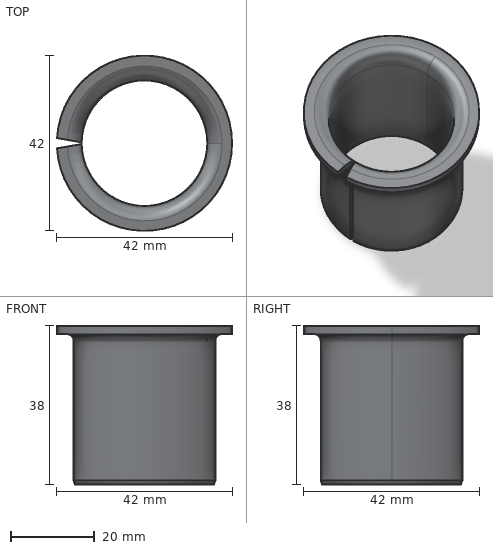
import cadquery as cq

flange_diameter = 42.0
tube_diameter = 34.0
wall = 2.0
height = 38.0
outer_bend_radius = 1.5
chamfer_height = 1.1
chamfer_width = 0.38
gap_outer_width = 2.45
gap_bore_width = 0.35

flange_radius = flange_diameter / 2
tube_radius = tube_diameter / 2
bore_radius = tube_radius - wall
inner_bend_radius = outer_bend_radius + wall
flange_underside = height - wall
bend_center_radius = tube_radius + outer_bend_radius
bend_center_z = flange_underside - outer_bend_radius


def bend_midpoint(radius):
    """Middle of the quarter-circle bend between the tube and the flange."""
    offset = radius * 0.5 ** 0.5
    return bend_center_radius - offset, bend_center_z + offset


def flanged_bushing():
    """Revolve the wall section, drawn as radius and height, about Z."""
    return (
        cq.Workplane("XZ")
        .moveTo(bore_radius, 0)
        .lineTo(tube_radius - chamfer_width, 0)
        .lineTo(tube_radius, chamfer_height)
        .lineTo(tube_radius, bend_center_z)
        .threePointArc(bend_midpoint(outer_bend_radius), (bend_center_radius, flange_underside))
        .lineTo(flange_radius, flange_underside)
        .lineTo(flange_radius, height)
        .lineTo(bend_center_radius, height)
        .threePointArc(bend_midpoint(inner_bend_radius), (bore_radius, bend_center_z))
        .close()
        .revolve(360, (0, 0, 0), (0, 1, 0))
    )


def split_wedge():
    """Full-height wedge on the -X side, narrowing from the rim into the bore."""
    half_width_slope = (gap_outer_width - gap_bore_width) / 2 / (flange_radius - bore_radius)
    tip_radius = bore_radius - gap_bore_width / 2 / half_width_slope
    wedge_end = 1.1 * flange_radius
    end_half_width = half_width_slope * (wedge_end - tip_radius)
    return (
        cq.Workplane("XY")
        .polyline([
            (-tip_radius, 0),
            (-wedge_end, end_half_width),
            (-wedge_end, -end_half_width),
        ])
        .close()
        .extrude(height)
    )


result = flanged_bushing().cut(split_wedge())